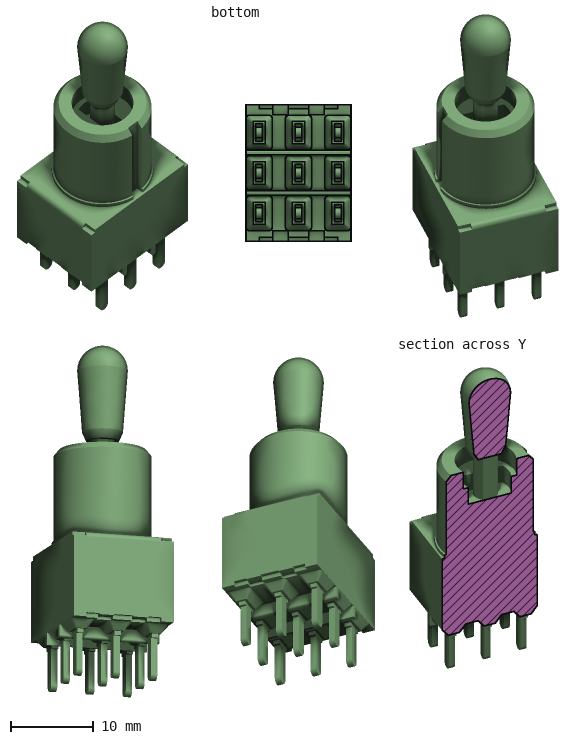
import cadquery as cq
import math

HOUSING_BOTTOM = 6.65
HOUSING_TOP = 17.15
COLLAR_TOP = 17.65
BUSHING_TOP = 29.1
KNOB_BOTTOM = 30.3
KNOB_TAPER_BOTTOM = 31.35
OVERALL_TOP = 42.05

HOUSING_X = 12.7
HOUSING_Y = 16.5
COVER_THICKNESS = 0.5
COVER_BEND_RADIUS = 0.65
STRAP_WIDTH = 9.5
POST_WIDTH = 2.45
POST_SETBACK = 0.5
GAP_WIDTH = 1.9
GAP_DEPTH = 1.25
GAP_HEIGHT = 0.38

COLLAR_DIAMETER = 12.27
BUSHING_DIAMETER = 11.85
BUSHING_TOP_DIAMETER = 10.6
BUSHING_CHAMFER_HEIGHT = 0.75
BORE_DIAMETER = 7.5
BORE_DEPTH = 2.45
LEVER_SLOT_LENGTH = 6.18
LEVER_SLOT_WIDTH = 2.52
LEVER_SLOT_DEPTH = 2.45
KEYWAY_WIDTH = 1.6
KEYWAY_BOTTOM_X = 5.13

STEM_DIAMETER = 3.0
STEM_ACROSS_FLATS = 2.4
KNOB_RADIUS = 3.05
KNOB_TAPER_RADIUS = 2.5
KNOB_BOTTOM_RADIUS = 2.0

BORE_FLOOR = BUSHING_TOP - BORE_DEPTH
LEVER_SLOT_FLOOR = BORE_FLOOR - LEVER_SLOT_DEPTH

PIN_PITCH_X = 4.75
PIN_PITCH_Y = 4.88
PIN_THICKNESS = 0.8
PIN_WIDTH = 1.3
SHOULDER_WIDTH = 2.1
SHOULDER_BOTTOM = 5.13
STANDOFF_BOTTOM = 5.65
STANDOFF_BOTTOM_X = 1.47
STANDOFF_BOTTOM_Y = 2.7
STANDOFF_BOTTOM_RADIUS = 0.13
STANDOFF_TOP_X = 3.15
STANDOFF_TOP_Y = 4.2
STANDOFF_TOP_RADIUS = 0.4

BARRIER_THICKNESS = 0.55
BARRIER_BOTTOM = 5.13
BARRIER_EDGE_RADIUS = 0.25

OVERLAP = 0.2


def box(size_x, size_y, bottom, top):
    """Box centred on the Z axis between two heights."""
    return cq.Workplane("XY").workplane(offset=bottom).rect(size_x, size_y).extrude(top - bottom)


def cylinder(diameter, bottom, top):
    """Cylinder on the Z axis between two heights."""
    return cq.Workplane("XY").workplane(offset=bottom).circle(diameter / 2).extrude(top - bottom)


def make_housing():
    shoulder = HOUSING_TOP - COVER_THICKNESS
    case = box(HOUSING_X, HOUSING_Y, HOUSING_BOTTOM, shoulder)
    top_plate = box(HOUSING_X, HOUSING_Y - 2 * COVER_BEND_RADIUS, shoulder - OVERLAP, HOUSING_TOP)
    strap_blank = box(STRAP_WIDTH, HOUSING_Y, HOUSING_BOTTOM, HOUSING_TOP)
    strap = strap_blank.edges("|X and >Z").fillet(COVER_BEND_RADIUS)
    housing = case.union(top_plate).cut(strap_blank).union(strap)

    recess_top = HOUSING_BOTTOM + COVER_THICKNESS
    gap_x = (POST_WIDTH + GAP_WIDTH) / 2
    gap_top = HOUSING_BOTTOM + GAP_HEIGHT
    outer_post_width = (STRAP_WIDTH - POST_WIDTH) / 2 - GAP_WIDTH
    outer_post_x = (STRAP_WIDTH - outer_post_width) / 2
    posts = ((-outer_post_x, outer_post_width), (0, POST_WIDTH), (outer_post_x, outer_post_width))
    for end in (-1, 1):
        face_y = end * HOUSING_Y / 2
        for post_x, width in posts:
            recess = box(width, 2 * POST_SETBACK, HOUSING_BOTTOM, recess_top)
            housing = housing.cut(recess.translate((post_x, face_y, 0)))
        for center_x in (-gap_x, gap_x):
            gap = box(GAP_WIDTH, 2 * GAP_DEPTH, HOUSING_BOTTOM, gap_top)
            housing = housing.cut(gap.translate((center_x, face_y, 0)))
    return housing


def make_bushing():
    chamfer_width = (BUSHING_DIAMETER - BUSHING_TOP_DIAMETER) / 2
    bushing = cylinder(BUSHING_DIAMETER, HOUSING_TOP - OVERLAP, BUSHING_TOP)
    bushing = bushing.faces(">Z").chamfer(BUSHING_CHAMFER_HEIGHT, chamfer_width)
    bushing = bushing.union(cylinder(COLLAR_DIAMETER, HOUSING_TOP - OVERLAP, COLLAR_TOP))
    keyway = box(COLLAR_DIAMETER, KEYWAY_WIDTH, HOUSING_TOP, BUSHING_TOP)
    keyway = keyway.translate((KEYWAY_BOTTOM_X + COLLAR_DIAMETER / 2, 0, 0))
    bore = cylinder(BORE_DIAMETER, BORE_FLOOR, BUSHING_TOP)
    slot_sides = box(LEVER_SLOT_LENGTH, LEVER_SLOT_WIDTH, LEVER_SLOT_FLOOR, BORE_FLOOR)
    slot = cylinder(LEVER_SLOT_LENGTH, LEVER_SLOT_FLOOR, BORE_FLOOR).intersect(slot_sides)
    return bushing.cut(keyway).cut(bore).cut(slot)


def make_lever():
    stem_bottom = LEVER_SLOT_FLOOR - OVERLAP
    stem_top = KNOB_BOTTOM + OVERLAP
    flats = box(STEM_DIAMETER, STEM_ACROSS_FLATS, stem_bottom, stem_top)
    stem = cylinder(STEM_DIAMETER, stem_bottom, stem_top).intersect(flats)
    dome_center = OVERALL_TOP - KNOB_RADIUS
    diagonal = KNOB_RADIUS * math.sqrt(0.5)
    knob = (
        cq.Workplane("XZ")
        .moveTo(0, KNOB_BOTTOM)
        .lineTo(KNOB_BOTTOM_RADIUS, KNOB_BOTTOM)
        .lineTo(KNOB_TAPER_RADIUS, KNOB_TAPER_BOTTOM)
        .lineTo(KNOB_RADIUS, dome_center)
        .threePointArc((diagonal, dome_center + diagonal), (0, OVERALL_TOP))
        .close()
        .revolve(360, (0, 0), (0, 1))
    )
    return stem.union(knob)


def rounded_outline(size_x, size_y, radius):
    """Centred rectangle with rounded corners."""
    return cq.Sketch().rect(size_x, size_y).vertices().fillet(radius)


def make_terminal():
    """Tapered standoff carrying a flat pin with a rounded tip."""
    bottom_outline = rounded_outline(STANDOFF_BOTTOM_X, STANDOFF_BOTTOM_Y, STANDOFF_BOTTOM_RADIUS)
    top_outline = rounded_outline(STANDOFF_TOP_X, STANDOFF_TOP_Y, STANDOFF_TOP_RADIUS)
    height = HOUSING_BOTTOM - STANDOFF_BOTTOM
    standoff = (
        cq.Workplane("XY")
        .workplane(offset=STANDOFF_BOTTOM)
        .placeSketch(bottom_outline, top_outline.moved(cq.Location(cq.Vector(0, 0, height))))
        .loft(ruled=True)
    )
    root = HOUSING_BOTTOM + GAP_HEIGHT + OVERLAP
    anchor = box(STANDOFF_BOTTOM_X, STANDOFF_BOTTOM_Y, STANDOFF_BOTTOM, root)
    shoulder = box(PIN_THICKNESS, SHOULDER_WIDTH, SHOULDER_BOTTOM, root)
    tip_radius = PIN_WIDTH / 2
    blade = box(PIN_THICKNESS, PIN_WIDTH, tip_radius, root)
    tip = (
        cq.Workplane("YZ")
        .center(0, tip_radius)
        .circle(tip_radius)
        .extrude(PIN_THICKNESS / 2, both=True)
    )
    return standoff.union(anchor).union(shoulder).union(blade).union(tip)


def make_barrier(side):
    """Wall across the housing underside, with its outward lower edge rounded."""
    barrier = box(HOUSING_X, BARRIER_THICKNESS, BARRIER_BOTTOM, HOUSING_BOTTOM + OVERLAP)
    outward = ">Y" if side > 0 else "<Y"
    barrier = barrier.faces("<Z").edges(outward).fillet(BARRIER_EDGE_RADIUS)
    return barrier.translate((0, side * PIN_PITCH_Y / 2, 0))


result = make_housing().union(make_bushing()).union(make_lever())
for column in (-1, 0, 1):
    for row in (-1, 0, 1):
        result = result.union(make_terminal().translate((column * PIN_PITCH_X, row * PIN_PITCH_Y, 0)))
for side in (-1, 1):
    result = result.union(make_barrier(side))